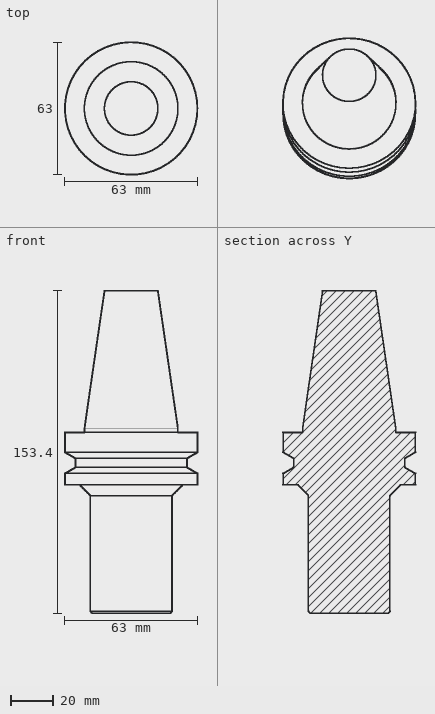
import cadquery as cq
import math

total_length = 153.4
taper_length = 65.3
gauge_height = total_length - taper_length
collar_length = 2.0
flange_top = gauge_height - collar_length
flange_length = 25.0
flange_bottom = flange_top - flange_length
neck_length = 5.0
shank_top = flange_bottom - neck_length

gauge_radius = 44.5 / 2
flange_radius = 63.0 / 2
groove_radius = 53.0 / 2
shank_radius = 39.0 / 2
neck_radius = shank_radius + neck_length

taper_ratio = 7 / 24
tip_radius = gauge_radius - taper_length * taper_ratio / 2

groove_center = gauge_height - 16.5
groove_width = 10.0
groove_wall_angle = math.radians(30)
groove_wall_height = (flange_radius - groove_radius) * math.tan(groove_wall_angle)
groove_top = groove_center + groove_width / 2
groove_bottom = groove_center - groove_width / 2

end_chamfer = 0.9

profile = [
    (0, 0),
    (shank_radius - end_chamfer, 0),
    (shank_radius, end_chamfer),
    (shank_radius, shank_top),
    (neck_radius, flange_bottom),
    (flange_radius, flange_bottom),
    (flange_radius, groove_bottom),
    (groove_radius, groove_bottom + groove_wall_height),
    (groove_radius, groove_top - groove_wall_height),
    (flange_radius, groove_top),
    (flange_radius, flange_top),
    (gauge_radius, flange_top),
    (gauge_radius, gauge_height),
    (tip_radius, total_length),
    (0, total_length),
]

result = cq.Workplane("XZ").polyline(profile).close().revolve(360, (0, 0), (0, 1))